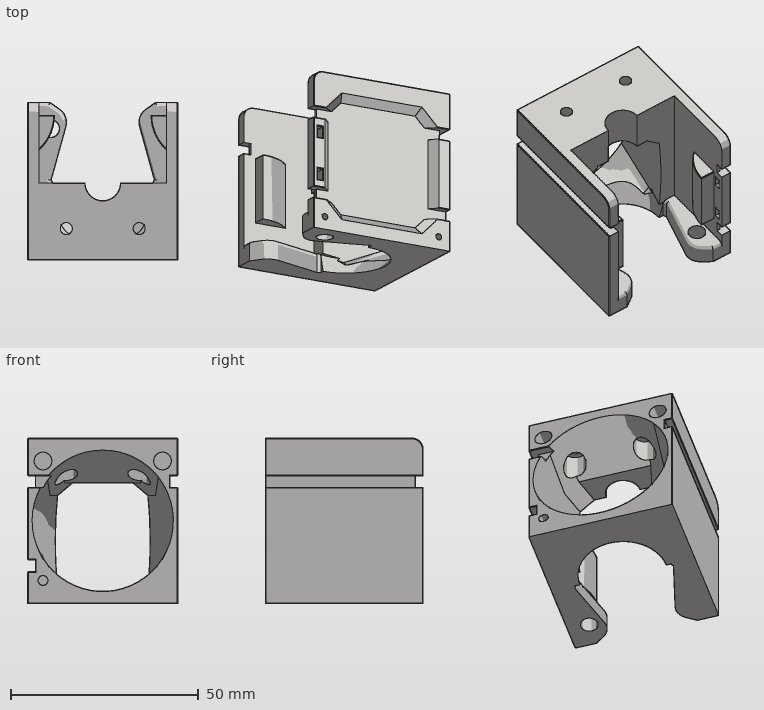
import cadquery as cq
import math

WIDTH = 40.0
DEPTH = 42.0
HEIGHT = 44.0
HALF_WIDTH = WIDTH / 2
WALL = 3.0
INNER_X = HALF_WIDTH - WALL
BLOCK_DEPTH = 20.5
TOP_CORNER_RADIUS = 3.0
EDGE_BREAK = 0.2

BORE_RADIUS = 18.8
BORE_Z = 22.0
ROOF_CREASE_ANGLES = (38.0, 50.0)
FLOOR_CREASE_ANGLES = (40.0, 46.0)
DUCT_FLOOR_Z = 3.0
DUCT_ROOF_Z = 32.1
DUCT_MID_Y = 13.0
DUCT_MID_HALF_WIDTH = 14.0
DUCT_END_HALF_WIDTH = 12.0
DUCT_SIDE_BULGE = 0.6
ROOF_CHAMFER = (4.0, 3.4)
FLOOR_CHAMFER = (1.5, 1.2)
NOTCH_RADIUS = 4.7

OUTLET_LOW_RADIUS = 12.0
OUTLET_HIGH_RADIUS = 13.8
OUTLET_HIGH_Y = 16.5
OUTLET_HIGH_Z = 5.0

ROOF_SCREW_X = 9.7
ROOF_SCREW_Y = 8.4
ROOF_SCREW_DIAMETER = 3.2
ROOF_HEAD_DIAMETER = 6.0
ROOF_HEAD_Z = 40.0
FAN_HOLE_OFFSET = 15.9
FAN_INSERT_DIAMETER = 4.7
FAN_PILOT_DIAMETER = 2.6
FAN_HOLE_DEPTH = 6.0
SIDE_PILOT_DIAMETER = 1.7
SIDE_PILOT_DEPTH = 5.0
SIDE_PILOT_INSET = 3.5

GROOVE_DEPTH = 2.1
GROOVE_HEIGHT = 3.1
UPPER_GROOVE_Z = 32.4
LOWER_GROOVE_Z = 10.0
POCKET_SIZE_Y = 35.0
POCKET_SIZE_Z = 35.4
POCKET_CENTRE_Z = 21.2
POCKET_CORNER = 5.2
POCKET_TAPER = 45.0

SLOT_SIZE_Y = 1.7
SLOT_SIZE_Z = 3.1
SLOT_Y = 39.95
SLOT_CENTRES_Z = (15.2, 27.0)

CHEEK_HEIGHT = 5.6
CHEEK_ROOT_X = 13.3
CHEEK_WAIST = (13.7, 21.4)
CHEEK_NOSE = (9.0, 38.4)
CHEEK_REAR_X = 14.1
CHEEK_NOSE_RADIUS = 4.2
CHEEK_EDGE_RADIUS = 1.3
CHEEK_HOLE_DIAMETER = 4.7
CHEEK_HOLE = (-13.9, 35.0)
GUSSET_RADIUS = 12.3
GUSSET_TIP_X = 12.85
GUSSET_REAR_Y = 38.5
GUSSET_BOTTOM_Z = 12.0
GUSSET_TOP_Z = 30.0


def box(x_range, y_range, z_range):
    sizes = [high - low for low, high in (x_range, y_range, z_range)]
    return (
        cq.Workplane("XY")
        .box(*sizes, centered=False)
        .translate((x_range[0], y_range[0], z_range[0]))
    )


def y_cylinder(x, z, diameter, length):
    """Cylinder from the fan face towards +Y."""
    solid = cq.Solid.makeCylinder(diameter / 2, length, cq.Vector(x, 0, z), cq.Vector(0, 1, 0))
    return cq.Workplane(solid)


def z_cylinder(x, y, diameter, z_low, z_high):
    solid = cq.Solid.makeCylinder(diameter / 2, z_high - z_low, cq.Vector(x, y, z_low))
    return cq.Workplane(solid)


def make_shell():
    """Fan block with two side walls running back from it."""
    shell = box((-HALF_WIDTH, HALF_WIDTH), (0, DEPTH), (0, HEIGHT))
    shell = shell.edges(">Y and >Z").fillet(TOP_CORNER_RADIUS)
    return shell.cut(box((-INNER_X, INNER_X), (BLOCK_DEPTH, DEPTH), (0, HEIGHT)))


def bore_wire():
    """Bore circle split into arcs that match the sides of the duct sections."""
    roof_low, roof_high = ROOF_CREASE_ANGLES
    floor_low, floor_high = FLOOR_CREASE_ANGLES
    roof_angles = [roof_low, roof_high, 180 - roof_high, 180 - roof_low]
    floor_angles = [180 + floor_low, 180 + floor_high, 360 - floor_high, 360 - floor_low]
    angles = roof_angles + floor_angles

    def point(angle):
        turn = math.radians(angle)
        return cq.Vector(BORE_RADIUS * math.cos(turn), 0, BORE_Z + BORE_RADIUS * math.sin(turn))

    arcs = []
    for start, end in zip(angles, angles[1:] + [angles[0] + 360]):
        arcs.append(cq.Edge.makeThreePointArc(point(start), point((start + end) / 2), point(end)))
    return cq.Wire.assembleEdges(arcs)


def duct_wire(y, half_width):
    """Section at the given Y: flat roof and floor, chamfered corners, bulging sides."""
    roof_x = half_width - ROOF_CHAMFER[0]
    floor_x = half_width - FLOOR_CHAMFER[0]
    upper_z = DUCT_ROOF_Z - ROOF_CHAMFER[1]
    lower_z = DUCT_FLOOR_Z + FLOOR_CHAMFER[1]
    bulge_x = half_width + DUCT_SIDE_BULGE
    bulge_z = (upper_z + lower_z) / 2
    profile = (
        cq.Workplane("XZ", origin=(0, y, 0))
        .moveTo(half_width, upper_z)
        .lineTo(roof_x, DUCT_ROOF_Z)
        .lineTo(-roof_x, DUCT_ROOF_Z)
        .lineTo(-half_width, upper_z)
        .threePointArc((-bulge_x, bulge_z), (-half_width, lower_z))
        .lineTo(-floor_x, DUCT_FLOOR_Z)
        .lineTo(floor_x, DUCT_FLOOR_Z)
        .lineTo(half_width, lower_z)
        .threePointArc((bulge_x, bulge_z), (half_width, upper_z))
        .close()
    )
    return profile.val()


def make_duct():
    middle = duct_wire(DUCT_MID_Y, DUCT_MID_HALF_WIDTH)
    end = duct_wire(BLOCK_DEPTH, DUCT_END_HALF_WIDTH)
    entry = cq.Solid.makeLoft([bore_wire(), middle], True)
    rear = cq.Solid.makeLoft([middle, end], True)
    return cq.Workplane(entry).union(cq.Workplane(rear))


def make_floor_outlet():
    return (
        cq.Workplane("XY")
        .center(0, BLOCK_DEPTH)
        .circle(OUTLET_LOW_RADIUS)
        .workplane(offset=OUTLET_HIGH_Z)
        .center(0, OUTLET_HIGH_Y - BLOCK_DEPTH)
        .circle(OUTLET_HIGH_RADIUS)
        .loft()
    )


def make_roof_holes():
    holes = z_cylinder(0, BLOCK_DEPTH, 2 * NOTCH_RADIUS, BORE_Z, HEIGHT)
    for x in (-ROOF_SCREW_X, ROOF_SCREW_X):
        holes = holes.union(z_cylinder(x, ROOF_SCREW_Y, ROOF_SCREW_DIAMETER, BORE_Z, HEIGHT))
        holes = holes.union(z_cylinder(x, ROOF_SCREW_Y, ROOF_HEAD_DIAMETER, BORE_Z, ROOF_HEAD_Z))
    return holes


def make_fan_holes():
    upper_z = BORE_Z + FAN_HOLE_OFFSET
    lower_z = BORE_Z - FAN_HOLE_OFFSET
    holes = y_cylinder(-FAN_HOLE_OFFSET, lower_z, FAN_PILOT_DIAMETER, FAN_HOLE_DEPTH)
    for x in (-FAN_HOLE_OFFSET, FAN_HOLE_OFFSET):
        holes = holes.union(y_cylinder(x, upper_z, FAN_INSERT_DIAMETER, FAN_HOLE_DEPTH))
    return holes


def make_panel_pocket():
    """Octagonal pocket in the left wall with 45 degree sides."""
    return (
        cq.Workplane("YZ", origin=(-HALF_WIDTH, DEPTH / 2, POCKET_CENTRE_Z))
        .sketch()
        .rect(POCKET_SIZE_Y, POCKET_SIZE_Z)
        .vertices()
        .chamfer(POCKET_CORNER)
        .finalize()
        .extrude(GROOVE_DEPTH, taper=POCKET_TAPER)
    )


def make_grooves():
    """Belt grooves: both walls at the upper level, the left wall only at the lower one."""
    left = (-HALF_WIDTH, GROOVE_DEPTH - HALF_WIDTH)
    right = (HALF_WIDTH - GROOVE_DEPTH, HALF_WIDTH)
    length = (0, DEPTH)
    front = (0, GROOVE_DEPTH)
    rear = (DEPTH - GROOVE_DEPTH, DEPTH)
    upper = (UPPER_GROOVE_Z - GROOVE_HEIGHT / 2, UPPER_GROOVE_Z + GROOVE_HEIGHT / 2)
    lower = (LOWER_GROOVE_Z - GROOVE_HEIGHT / 2, LOWER_GROOVE_Z + GROOVE_HEIGHT / 2)
    grooves = box(left, length, upper)
    grooves = grooves.union(box(right, length, upper))
    grooves = grooves.union(box((-HALF_WIDTH, HALF_WIDTH), rear, upper))
    grooves = grooves.union(box((-HALF_WIDTH, 0), front, upper))
    grooves = grooves.union(box(left, length, lower))
    return grooves.union(box((-HALF_WIDTH, -INNER_X), rear, lower))


def make_slots():
    """Two rectangular slots through the left wall."""
    return (
        cq.Workplane("YZ", origin=(-HALF_WIDTH, 0, 0))
        .pushPoints([(SLOT_Y, z) for z in SLOT_CENTRES_Z])
        .rect(SLOT_SIZE_Y, SLOT_SIZE_Z)
        .extrude(WALL)
    )


def make_side_pilots():
    """Two blind pilot holes low in the left side."""
    return (
        cq.Workplane("YZ", origin=(-HALF_WIDTH, 0, 0))
        .pushPoints([(y, SIDE_PILOT_INSET) for y in (SIDE_PILOT_INSET, DEPTH - SIDE_PILOT_INSET)])
        .circle(SIDE_PILOT_DIAMETER / 2)
        .extrude(SIDE_PILOT_DEPTH)
    )


def make_right_cheek():
    """Low pointed cheek with a rounded nose and a rounded upper edge."""
    cheek = (
        cq.Workplane("XY")
        .moveTo(INNER_X, BLOCK_DEPTH)
        .lineTo(CHEEK_ROOT_X, BLOCK_DEPTH)
        .lineTo(*CHEEK_WAIST)
        .lineTo(*CHEEK_NOSE)
        .lineTo(CHEEK_REAR_X, DEPTH)
        .lineTo(INNER_X, DEPTH)
        .close()
        .extrude(CHEEK_HEIGHT)
    )
    cheek = cheek.edges("|Z and <X").fillet(CHEEK_NOSE_RADIUS)
    return cheek.faces(">Z").edges("not (>X or <Y)").fillet(CHEEK_EDGE_RADIUS)


def make_right_gusset():
    """Upright bracket behind the wall pad: flat rear face and a convex front."""
    axis_x = GUSSET_TIP_X + GUSSET_RADIUS
    profile = box((GUSSET_TIP_X, INNER_X), (BLOCK_DEPTH, GUSSET_REAR_Y), (GUSSET_BOTTOM_Z, GUSSET_TOP_Z))
    column = z_cylinder(axis_x, GUSSET_REAR_Y, 2 * GUSSET_RADIUS, GUSSET_BOTTOM_Z, GUSSET_TOP_Z)
    return profile.intersect(column).faces(">Z").edges("not >X").chamfer(EDGE_BREAK)


body = make_shell().cut(make_grooves()).cut(make_slots())
body = body.faces("<X or >X or <Y").edges("not <Z").chamfer(EDGE_BREAK)

body = body.cut(make_duct())
body = body.cut(make_floor_outlet())
body = body.cut(make_roof_holes())
body = body.cut(make_fan_holes())
body = body.cut(make_panel_pocket())
body = body.cut(make_side_pilots())

for bracket in (make_right_cheek(), make_right_gusset()):
    body = body.union(bracket).union(bracket.mirror("YZ"))
body = body.cut(z_cylinder(*CHEEK_HOLE, CHEEK_HOLE_DIAMETER, 0, CHEEK_HEIGHT))

result = body